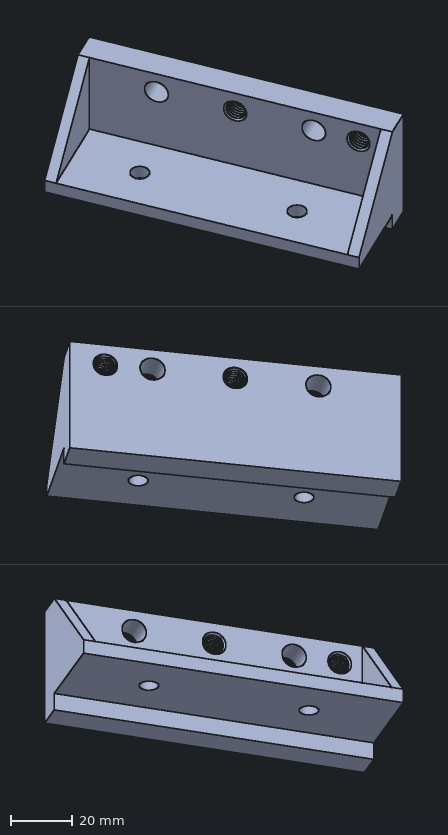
import cadquery as cq
import math

length = 110.0
depth = 40.0
height = 41.0

wall_thickness = 10.0
lip_drop = 6.0
base_thickness = 5.0
gusset_thickness = 4.1
base_top = lip_drop + base_thickness
wall_front = depth - wall_thickness

hole_pair_x = (length / 4, length * 3 / 4)
wall_hole_diameter = 8.2
wall_hole_z = height - 7.5
base_hole_diameter = 6.4
base_hole_y = wall_front / 2

threaded_hole_x = (length / 2, 98.1)
thread_minor_diameter = 6.6
thread_major_diameter = 8.0
thread_pitch = 1.2
groove_count = math.ceil(wall_thickness / thread_pitch) + 1


def side_profile(points):
    """Start an outline of (Y, Z) points on the X = 0 plane."""
    return cq.Workplane("YZ").polyline(points).close()


def wall_hole(x):
    """Cutter for a plain hole through the wall."""
    plane = cq.Plane(origin=(x, wall_front, wall_hole_z), xDir=(1, 0, 0), normal=(0, 1, 0))
    return cq.Workplane(plane).circle(wall_hole_diameter / 2).extrude(wall_thickness)


def base_hole(x):
    """Cutter for a plain hole through the base."""
    plane = cq.Workplane("XY", origin=(x, base_hole_y, lip_drop))
    return plane.circle(base_hole_diameter / 2).extrude(base_thickness)


def thread_cutter(x):
    """Threaded bore modelled as a stack of V-shaped rings, widest at the front of the wall."""
    crest_radius = thread_minor_diameter / 2
    root_radius = thread_major_diameter / 2
    outline = [(0, wall_front)]
    for ring in range(groove_count):
        root_y = wall_front + ring * thread_pitch
        outline.append((root_radius, root_y))
        outline.append((crest_radius, root_y + thread_pitch / 2))
    outline.append((0, outline[-1][1]))
    return (
        cq.Workplane("XY")
        .polyline(outline)
        .close()
        .revolve(360, (0, 0), (0, 1))
        .translate((x, 0, wall_hole_z))
    )


body = side_profile([
    (depth, 0),
    (depth, height),
    (wall_front, height),
    (0, base_top),
    (0, lip_drop),
    (wall_front, lip_drop),
    (wall_front, 0),
]).extrude(length)

pocket = (
    side_profile([
        (0, base_top),
        (wall_front, base_top),
        (wall_front, height),
        (0, height),
    ])
    .extrude(length - 2 * gusset_thickness)
    .translate((gusset_thickness, 0, 0))
)
body = body.cut(pocket)

for hole_x in hole_pair_x:
    body = body.cut(wall_hole(hole_x))
    body = body.cut(base_hole(hole_x))

for hole_x in threaded_hole_x:
    body = body.cut(thread_cutter(hole_x))

result = body